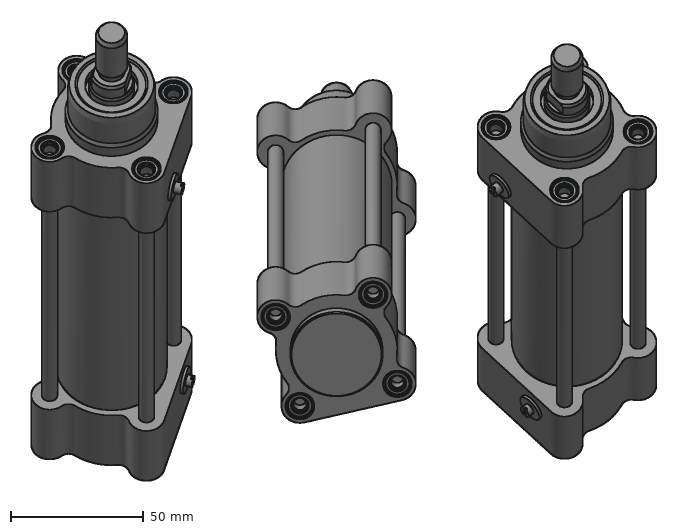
import cadquery as cq
import math

total_height = 243.0
spigot_height = 4.0
spigot_diameter = 35.0
spigot_chamfer = 0.5
cap_width = 52.0
cap_height = 31.0
barrel_diameter = 42.0
barrel_gap = 0.6
register_diameter = 41.0
tie_rod_pitch = 38.0
tie_rod_diameter = 6.0
thread_length = 24.0
rod_projection = 30.0

end_cap_bottom = spigot_height
end_cap_top = end_cap_bottom + cap_height
rod_shoulder = total_height - thread_length
bearing_cap_top = rod_shoulder - rod_projection
bearing_cap_bottom = bearing_cap_top - cap_height

corner_offset = tie_rod_pitch / 2
corner_radius = cap_width / 2 - corner_offset
cap_body_radius = 23.0
cap_blend_radius = 4.0

collar_base_diameter = 35.0
collar_base_height = 5.2
collar_diameter = 33.2
collar_step_height = 1.6
collar_top = bearing_cap_top + 22.0
collar_tip_diameter = 32.0
collar_tip_taper = 3.0
face_recess_rim_diameter = 27.5
face_recess_diameter = 26.0
face_recess_depth = 0.5
wiper_recess_diameter = 20.0
wiper_recess_depth = 3.0
wiper_lip_diameter = 17.2
wiper_lip_height = 1.4
wiper_lip_taper = 1.0

rod_diameter = 16.0
rod_shoulder_chamfer_height = 1.2
rod_shoulder_chamfer_width = 0.8
flat_width = 13.0
flat_height = 6.0
neck_diameter = 10.0
neck_height = 2.6
thread_diameter = 12.0
thread_root_chamfer = 1.0
thread_tip_diameter = 10.0
thread_tip_chamfer_height = 2.0

counterbore_diameter = 10.5
counterbore_rim_diameter = 11.0
counterbore_depth = 8.0
head_diameter = 10.0
head_inset = 0.5
head_chamfer = 0.5
head_hole_rim_diameter = 6.8
head_hole_diameter = 6.0
head_core_diameter = 4.92
head_hole_step_depth = 1.5
head_hole_depth = 6.0

screw_offset = 8.5
screw_from_inner_face = 9.2
screw_flange_diameter = 10.7
screw_flange_thickness = 1.2
screw_pin_diameter = 4.5
bearing_cap_screw_tip = 30.39
end_cap_screw_tip = 29.7
screw_slot_width = 1.0
screw_slot_depth = 0.8

corners = [(x, y) for x in (-corner_offset, corner_offset) for y in (-corner_offset, corner_offset)]


def cylinder(diameter, bottom, top):
    return cq.Workplane("XY", origin=(0, 0, bottom)).circle(diameter / 2).extrude(top - bottom)


def revolved(points):
    """Solid of revolution about Z from (radius, height) points."""
    return cq.Workplane("XZ").polyline(points).close().revolve(360, (0, 0), (0, 1))


def polar(radius, angle):
    return (radius * math.cos(angle), radius * math.sin(angle))


def toward(start, end, distance):
    """Point at the given distance from start in the direction of end."""
    ratio = distance / math.dist(start, end)
    return tuple(a + ratio * (b - a) for a, b in zip(start, end))


def blend_middle(center, start, end):
    """Middle point of the fillet arc from start to end about its center."""
    chord_middle = ((start[0] + end[0]) / 2, (start[1] + end[1]) / 2)
    return toward(center, chord_middle, cap_blend_radius)


def cap_block(bottom):
    """Round body and four corner lobes joined by tangent fillets, filled out to a flat on +X."""
    body_to_blend = cap_body_radius + cap_blend_radius
    lobe_to_blend = corner_radius + cap_blend_radius
    lobe_distance = math.hypot(corner_offset, corner_offset)
    sides = body_to_blend**2 + lobe_distance**2 - lobe_to_blend**2
    blend_angle = math.acos(sides / (2 * body_to_blend * lobe_distance))
    quarter = math.pi / 2

    outline = cq.Workplane("XY", origin=(0, 0, bottom))
    outline = outline.moveTo(*polar(cap_body_radius, blend_angle - quarter / 2))
    for index in range(4):
        diagonal = quarter * (index + 0.5)
        lobe = polar(lobe_distance, diagonal)
        blend_in = polar(body_to_blend, diagonal - blend_angle)
        blend_out = polar(body_to_blend, diagonal + blend_angle)
        body_end = polar(cap_body_radius, diagonal - blend_angle)
        lobe_start = toward(lobe, blend_in, corner_radius)
        lobe_end = toward(lobe, blend_out, corner_radius)
        body_start = polar(cap_body_radius, diagonal + blend_angle)
        outline = (
            outline
            .threePointArc(polar(cap_body_radius, diagonal - quarter / 2), body_end)
            .threePointArc(blend_middle(blend_in, body_end, lobe_start), lobe_start)
            .threePointArc(polar(lobe_distance + corner_radius, diagonal), lobe_end)
            .threePointArc(blend_middle(blend_out, lobe_end, body_start), body_start)
        )
    block = outline.close().extrude(cap_height)
    flat_side = cq.Workplane("XY", origin=(0, 0, bottom)).center(cap_width / 4, 0)
    return block.union(flat_side.rect(cap_width / 2, tie_rod_pitch).extrude(cap_height))


def tie_rod_bores(face, inward):
    """Bore and chamfered counterbore in each corner; inward is +1 or -1 along Z from the face."""
    radius = counterbore_diameter / 2
    rim_radius = counterbore_rim_diameter / 2
    bore_radius = tie_rod_diameter / 2
    floor = face + inward * counterbore_depth
    far_face = face + inward * cap_height
    rim_floor = face + inward * (rim_radius - radius)
    bore = revolved([
        (0, face),
        (rim_radius, face),
        (radius, rim_floor),
        (radius, floor),
        (bore_radius, floor),
        (bore_radius, far_face),
        (0, far_face),
    ])
    return [bore.translate((x, y, 0)) for x, y in corners]


def cushion_screw(y, z, tip):
    """Flange and slotted pin standing out of the flat +X face."""
    face = cq.Workplane("YZ", origin=(cap_width / 2, y, z))
    flange = face.circle(screw_flange_diameter / 2).extrude(screw_flange_thickness)
    pin = face.circle(screw_pin_diameter / 2).extrude(tip - cap_width / 2)
    slot = cq.Workplane("XY").box(2 * screw_slot_depth, screw_slot_width, screw_pin_diameter)
    return flange.union(pin.cut(slot.translate((tip, y, z))))


def make_end_cap():
    spigot = cylinder(spigot_diameter, 0, end_cap_bottom).faces("<Z").chamfer(spigot_chamfer)
    register = cylinder(register_diameter, end_cap_top, end_cap_top + barrel_gap)
    cap = cap_block(end_cap_bottom).union(spigot).union(register)
    for bore in tie_rod_bores(end_cap_bottom, 1):
        cap = cap.cut(bore)
    return cap.union(cushion_screw(screw_offset, end_cap_top - screw_from_inner_face, end_cap_screw_tip))


def make_bearing_cap():
    base_top = bearing_cap_top + collar_base_height
    collar_face = collar_top - face_recess_depth
    lip_top = collar_top + wiper_lip_height
    collar = revolved([
        (0, bearing_cap_top),
        (collar_base_diameter / 2, bearing_cap_top),
        (collar_base_diameter / 2, base_top),
        (collar_diameter / 2, base_top + collar_step_height),
        (collar_diameter / 2, collar_top - collar_tip_taper),
        (collar_tip_diameter / 2, collar_top),
        (face_recess_rim_diameter / 2, collar_top),
        (face_recess_diameter / 2, collar_face),
        (wiper_recess_diameter / 2, collar_face),
        (wiper_recess_diameter / 2, collar_face - wiper_recess_depth),
        (wiper_lip_diameter / 2, collar_face - wiper_recess_depth),
        (wiper_lip_diameter / 2, lip_top - wiper_lip_taper),
        (rod_diameter / 2, lip_top),
        (0, lip_top),
    ])
    cap = cap_block(bearing_cap_bottom).union(collar)
    cap = cap.cut(cylinder(rod_diameter, bearing_cap_bottom, lip_top))
    for bore in tie_rod_bores(bearing_cap_top, -1):
        cap = cap.cut(bore)
    screw_height = bearing_cap_bottom + screw_from_inner_face
    return cap.union(cushion_screw(-screw_offset, screw_height, bearing_cap_screw_tip))


def make_barrel():
    return cylinder(barrel_diameter, end_cap_top + barrel_gap, bearing_cap_bottom)


def make_piston_rod():
    radius = rod_diameter / 2
    neck_top = rod_shoulder + neck_height
    rod = revolved([
        (0, bearing_cap_bottom),
        (radius, bearing_cap_bottom),
        (radius, rod_shoulder - rod_shoulder_chamfer_height),
        (radius - rod_shoulder_chamfer_width, rod_shoulder),
        (neck_diameter / 2, rod_shoulder),
        (neck_diameter / 2, neck_top),
        (thread_diameter / 2, neck_top + thread_root_chamfer),
        (thread_diameter / 2, total_height - thread_tip_chamfer_height),
        (thread_tip_diameter / 2, total_height),
        (0, total_height),
    ])
    for side in (-1, 1):
        cutter = cq.Workplane("XY").box(rod_diameter, rod_diameter, flat_height)
        center_x = side * (flat_width + rod_diameter) / 2
        rod = rod.cut(cutter.translate((center_x, 0, rod_shoulder - flat_height / 2)))
    return rod


def head_profile(face, inward):
    """Head end of a tie rod, from the hole floor on the axis out to the underside of the head."""
    rim = head_hole_rim_diameter / 2
    hole = head_hole_diameter / 2
    core = head_core_diameter / 2
    head = head_diameter / 2
    top = face + inward * head_inset
    step = top + inward * head_hole_step_depth
    hole_floor = top + inward * head_hole_depth
    underside = face + inward * counterbore_depth
    return [
        (0, hole_floor),
        (core, hole_floor),
        (core, step),
        (hole, step),
        (hole, top + inward * (rim - hole)),
        (rim, top),
        (head - head_chamfer, top),
        (head, top + inward * head_chamfer),
        (head, underside),
        (tie_rod_diameter / 2, underside),
    ]


def make_tie_rod(x, y):
    lower_end = head_profile(end_cap_bottom, 1)
    upper_end = head_profile(bearing_cap_top, -1)
    return revolved(lower_end + upper_end[::-1]).translate((x, y, 0))


end_cap = make_end_cap()
bearing_cap = make_bearing_cap()
barrel = make_barrel()
piston_rod = make_piston_rod()
tie_rods = [make_tie_rod(x, y) for x, y in corners]

result = cq.Compound.makeCompound([
    end_cap.val(),
    bearing_cap.val(),
    barrel.val(),
    piston_rod.val(),
    *[tie_rod.val() for tie_rod in tie_rods],
])